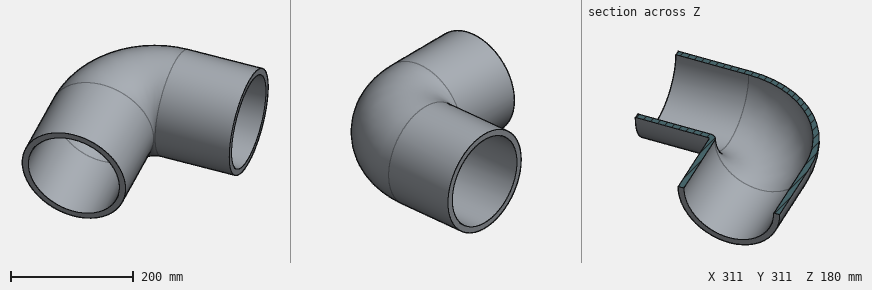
import cadquery as cq
import math

overall_size = 311.0
outer_diameter = 180.0
inner_diameter = 158.5
leg_length = 129.0

bend_radius = overall_size - leg_length - outer_diameter / 2

mid_bend = bend_radius * math.sqrt(0.5)
centreline = (
    cq.Workplane("XY")
    .moveTo(-bend_radius, -leg_length)
    .lineTo(-bend_radius, 0)
    .threePointArc((-mid_bend, mid_bend), (0, bend_radius))
    .lineTo(leg_length, bend_radius)
)

result = (
    cq.Workplane("XZ", origin=(-bend_radius, -leg_length, 0))
    .circle(outer_diameter / 2)
    .circle(inner_diameter / 2)
    .sweep(centreline)
)